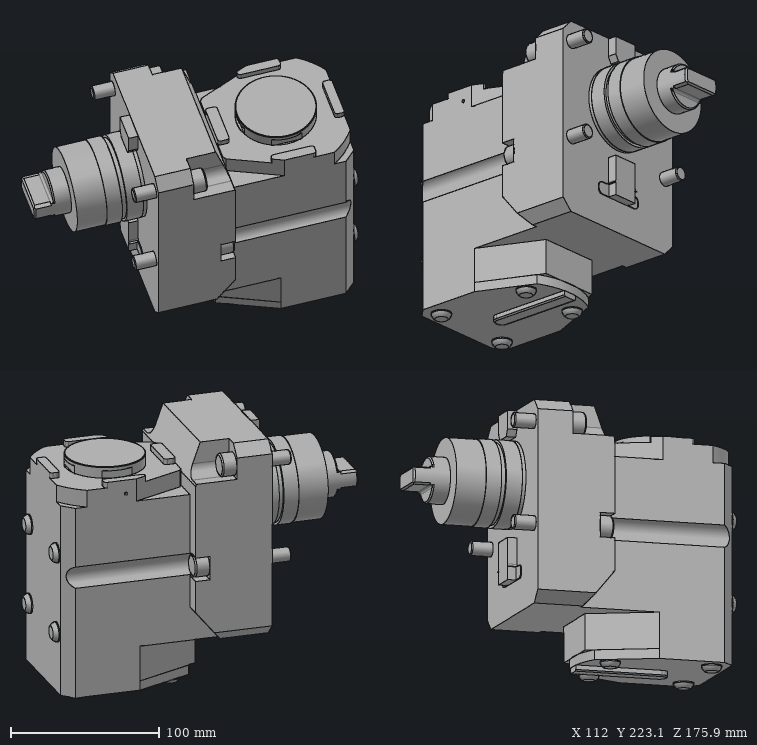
import cadquery as cq
import math


flange_width = 112.0
flange_top = 50.0
flange_bottom = -90.0
flange_thickness = 25.0
flange_chamfer = 8.0
shoulder_back = 54.5
shoulder_top_back = 45.5
shoulder_slope_start = 25.0
shoulder_slope_end = -66.0
shoulder_bottom_back = 34.5

housing_width = 88.0
housing_back = 144.0
housing_top = 15.0
housing_bottom = -115.0
housing_front = 43.7
rear_chamfer = 8.0
cap_axis_y = 100.0
side_taper_start = 90.0
side_taper_front_half = 23.5

lid_height = 12.0
lid_radius = 52.0
lid_front = 54.7
lid_taper_start = 92.5
lid_taper_end = 56.0
lid_taper_end_half = 28.0
cap_diameter = 55.0
cap_top = 35.1
cap_edge_chamfer = 0.5
cap_flat_offset = 25.3
cap_flat_top = 32.2
cap_flat_depth_in_lid = 1.0
pad_length = 30.4
pad_depth = 6.8
front_pad_depth = 8.1
pad_height = 4.0
pad_corner = 2.0
vent_diameter = 2.1
vent_depth = 3.0
vent_z = 21.2

cover_thickness = 6.8
cover_radius = 57.0
cover_taper_start = 90.0
rib_width = 11.4
rib_back = 109.5
rib_end_radius = 5.6
rib_chamfer = 1.0

button_diameter = 14.0
button_tip_diameter = 9.0
button_height = 4.1
button_shoulder = 0.8
button_bulge = 0.25
rear_screw_pitch = 57.0
rear_screw_centre_z = -50.0
cover_rear_screw_offset = 31.0
cover_front_screw_radius = 45.0
cover_front_screw_angle = 31.5

screw_x = 47.5
screw_z = 35.0
screw_diameter = 10.0
screw_head_diameter = 16.0
screw_head_height = 10.0
screw_length_out = 15.0
screw_tip_chamfer = 0.7
head_chamfer = 1.0
pocket_radius = 8.4
lower_seat_y = 44.3

spindle_steps = (
    (59.6, 2.5),
    (60.0, 13.9),
    (56.2, 17.2),
    (60.0, 28.0),
    (59.0, 48.9),
)
shaft_diameter = 32.0
shaft_end = 61.1
shaft_chamfer = 1.0
tongue_end = 75.0
tongue_thickness = 12.2
tongue_tip_chamfer = 1.2
tongue_root_fillet = 1.8
tongue_flat_half_width = 12.4
tongue_side_half_width = 15.0
tongue_side_drop = 1.0

key_width = 19.8
key_height = 6.7
upper_key_top = 49.4
upper_key_bottom = 31.7
upper_key_chamfer_x = 2.8
upper_key_chamfer_z = 4.8
lower_key_top = -38.0
lower_key_bottom = -67.0
foot_length = 40.0
foot_height = 9.0
foot_thickness = 0.7
foot_corner = 3.5
foot_web = 1.7

flange_half = flange_width / 2
housing_half = housing_width / 2
lid_top = housing_top + lid_height
cover_bottom = housing_bottom - cover_thickness


def block(x0, x1, y0, y1, z0, z1):
    """Axis-aligned box between two corners."""
    return cq.Workplane("XY").box(x1 - x0, y1 - y0, z1 - z0, centered=False).translate((x0, y0, z0))


def cylinder_y(diameter, x, z, y0, y1):
    """Cylinder along Y from y0 to y1."""
    return cq.Workplane("XZ", origin=(x, y0, z)).circle(diameter / 2).extrude(y0 - y1)


def cylinder_z(diameter, y, z0, z1):
    """Cylinder along Z on the X = 0 plane."""
    return cq.Workplane("XY", origin=(0, y, z0)).circle(diameter / 2).extrude(z1 - z0)


def prism_z(points, z0, z1):
    """Upright prism over an XY outline."""
    return cq.Workplane("XY", origin=(0, 0, z0)).polyline(points).close().extrude(z1 - z0)


def mirrored(points):
    """Complete a right-half XY outline with its mirror image across X = 0."""
    return points + [(-x, y) for x, y in reversed(points)]


def make_flange():
    """Flange plate with all corners bevelled, and the shoulder with only its lower corners bevelled."""
    plate = block(-flange_half, flange_half, 0, flange_thickness, flange_bottom, flange_top)
    plate = plate.edges("|Y").chamfer(flange_chamfer)
    side_outline = [
        (flange_thickness, flange_top),
        (shoulder_top_back, flange_top),
        (shoulder_back, shoulder_slope_start),
        (shoulder_back, shoulder_slope_end),
        (shoulder_bottom_back, flange_bottom),
        (flange_thickness, flange_bottom),
    ]
    shoulder = cq.Workplane("YZ").polyline(side_outline).close().extrude(flange_half, both=True)
    envelope = block(-flange_half, flange_half, 0, shoulder_back, flange_bottom, flange_top)
    envelope = envelope.edges("|Y and <Z").chamfer(flange_chamfer)
    return plate.union(shoulder.intersect(envelope))


def make_housing():
    """Main body, with its front corners tapered below the flange."""
    upper = block(-housing_half, housing_half, flange_thickness, housing_back, flange_bottom, housing_top)
    upper = upper.edges("|Z and >Y").chamfer(rear_chamfer)
    lower_outline = mirrored([
        (side_taper_front_half, housing_front),
        (housing_half, side_taper_start),
        (housing_half, housing_back - rear_chamfer),
        (housing_half - rear_chamfer, housing_back),
    ])
    return upper.union(prism_z(lower_outline, housing_bottom, flange_bottom))


def make_lid_prism(z0, z1):
    """Lid outline: tapered plan trimmed by a circle about the cap axis."""
    outline = mirrored([
        (lid_taper_end_half, lid_front),
        (lid_taper_end_half, lid_taper_end),
        (housing_half, lid_taper_start),
        (housing_half, housing_back),
    ])
    return prism_z(outline, z0, z1).intersect(cylinder_z(2 * lid_radius, cap_axis_y, z0, z1))


def make_pads():
    """Four raised pads at the lid edges, trimmed to the lid outline."""
    pad_top = lid_top + pad_height
    half = pad_length / 2
    areas = [
        (-half, half, housing_back - pad_depth, housing_back),
        (-half, half, lid_front, lid_front + front_pad_depth),
        (-housing_half, pad_depth - housing_half, cap_axis_y - half, cap_axis_y + half),
        (housing_half - pad_depth, housing_half, cap_axis_y - half, cap_axis_y + half),
    ]
    pads = cq.Workplane("XY")
    for x0, x1, y0, y1 in areas:
        pads = pads.union(block(x0, x1, y0, y1, lid_top, pad_top).edges("|Z").fillet(pad_corner))
    return pads.intersect(make_lid_prism(lid_top, pad_top))


def make_cap():
    """Round cap whose neck has four flats below the rim."""
    floor = lid_top - cap_flat_depth_in_lid
    cap = cylinder_z(cap_diameter, cap_axis_y, floor, cap_top).faces(">Z").chamfer(cap_edge_chamfer)
    neck_square = cq.Workplane("XY", origin=(0, cap_axis_y, floor)).rect(
        2 * cap_flat_offset, 2 * cap_flat_offset
    ).extrude(cap_flat_top - floor)
    rim = cylinder_z(cap_diameter, cap_axis_y, cap_flat_top, cap_top)
    return cap.intersect(neck_square.union(rim))


def make_lid():
    """Lid with pads, cap and a small vent in its -X side."""
    lid = make_lid_prism(housing_top, lid_top)
    lid = lid.cut(cylinder_z(cap_diameter, cap_axis_y, lid_top - cap_flat_depth_in_lid, lid_top))
    vent = cq.Workplane("YZ", origin=(-housing_half, cap_axis_y, vent_z))
    lid = lid.cut(vent.circle(vent_diameter / 2).extrude(vent_depth))
    return lid.union(make_pads()).union(make_cap())


def make_cover():
    """Bottom cover with a rounded front and a round-ended rib underneath."""
    front_y = cap_axis_y - cover_radius
    outline = mirrored([
        (side_taper_front_half, front_y),
        (housing_half, cover_taper_start),
        (housing_half, housing_back - rear_chamfer),
        (housing_half - rear_chamfer, housing_back),
    ])
    cover = prism_z(outline, cover_bottom, housing_bottom)
    cover = cover.intersect(cylinder_z(2 * cover_radius, cap_axis_y, cover_bottom, housing_bottom))
    half = rib_width / 2
    rib = block(-half, half, front_y, rib_back, cover_bottom - button_height, cover_bottom)
    rib = rib.edges("|Z and >Y").fillet(rib_end_radius)
    rib = rib.faces("<Z").edges("not <Y").chamfer(rib_chamfer)
    return cover.union(rib)


def make_button():
    """Domed screw head standing on Z = 0 and rising along +Z."""
    base = button_diameter / 2
    tip = button_tip_diameter / 2
    middle = ((base + tip) / 2 + button_bulge, (button_shoulder + button_height) / 2 + button_bulge)
    profile = cq.Workplane("XZ").lineTo(base, 0).lineTo(base, button_shoulder)
    profile = profile.threePointArc(middle, (tip, button_height)).lineTo(0, button_height).close()
    return profile.revolve(360, (0, 0, 0), (0, 1, 0))


def make_buttons():
    """Four screw heads on the back and four under the cover."""
    button = make_button()
    rear_button = button.rotate((0, 0, 0), (1, 0, 0), -90)
    cover_button = button.rotate((0, 0, 0), (1, 0, 0), 180)
    half_pitch = rear_screw_pitch / 2
    front_angle = math.radians(cover_front_screw_angle)
    sideways = cover_front_screw_radius * math.sin(front_angle)
    forward = cover_front_screw_radius * math.cos(front_angle)
    heads = cq.Workplane("XY")
    for side in (-1, 1):
        for level in (-1, 1):
            place = (side * half_pitch, housing_back, rear_screw_centre_z + level * half_pitch)
            heads = heads.union(rear_button.translate(place))
        rear_place = (side * cover_rear_screw_offset, cap_axis_y + cover_rear_screw_offset, cover_bottom)
        front_place = (side * sideways, cap_axis_y - forward, cover_bottom)
        heads = heads.union(cover_button.translate(rear_place)).union(cover_button.translate(front_place))
    return heads


def make_screw_pocket(side, level):
    """Clearance behind a flange screw; upper ones open outward and upward, lower ones outward."""
    x = side * screw_x
    z = level * screw_z
    outer = side * (flange_half + 1)
    x0, x1 = sorted((x, outer))
    if level > 0:
        seat, end = flange_thickness, shoulder_back
        pocket = cylinder_y(2 * pocket_radius, x, z, seat, end)
        pocket = pocket.union(block(x0, x1, seat, end, z - pocket_radius, flange_top))
        inner0, inner1 = sorted((x - side * pocket_radius, outer))
        return pocket.union(block(inner0, inner1, seat, end, z, flange_top))
    pocket = cylinder_y(2 * pocket_radius, x, z, lower_seat_y, housing_back)
    return pocket.union(block(x0, x1, lower_seat_y, shoulder_back, z - pocket_radius, z + pocket_radius))


def make_screw(side, level):
    """Cap screw through the flange, its tip standing out in front."""
    x = side * screw_x
    z = level * screw_z
    seat = flange_thickness if level > 0 else lower_seat_y
    shank = cylinder_y(screw_diameter, x, z, -screw_length_out, seat).faces("<Y").chamfer(screw_tip_chamfer)
    head = cylinder_y(screw_head_diameter, x, z, seat, seat + screw_head_height)
    return shank.union(head.faces(">Y").chamfer(head_chamfer))


def make_tongue():
    """Drive tongue with a filleted root, a bevelled tip and bevelled long edges."""
    half = tongue_thickness / 2
    radius = shaft_diameter / 2
    root = half + tongue_root_fillet
    tip = half - tongue_tip_chamfer
    arc_mid = root - tongue_root_fillet * math.sin(math.radians(45))
    arc_mid_y = -shaft_end - tongue_root_fillet * (1 - math.cos(math.radians(45)))
    fillet_end_y = -shaft_end - tongue_root_fillet
    tip_start_y = tongue_tip_chamfer - tongue_end
    profile = (
        cq.Workplane("YZ")
        .moveTo(-shaft_end, -root)
        .lineTo(-shaft_end, root)
        .threePointArc((arc_mid_y, arc_mid), (fillet_end_y, half))
        .lineTo(tip_start_y, half)
        .lineTo(-tongue_end, tip)
        .lineTo(-tongue_end, -tip)
        .lineTo(tip_start_y, -half)
        .lineTo(fillet_end_y, -half)
        .threePointArc((arc_mid_y, -arc_mid), (-shaft_end, -root))
        .close()
    )
    tongue = profile.extrude(radius, both=True)
    start_y = shaft_chamfer - shaft_end
    tongue = tongue.union(block(-radius, radius, -shaft_end, start_y, -half, half))
    round_end = cylinder_y(shaft_diameter, 0, 0, -tongue_end, start_y)
    tongue = tongue.intersect(round_end.faces("<Y").chamfer(tongue_tip_chamfer))
    slope = tongue_side_drop / (tongue_side_half_width - tongue_flat_half_width)
    side_z = half - slope * (radius - tongue_flat_half_width)
    bevel_outline = [
        (-radius, side_z),
        (0, half + slope * tongue_flat_half_width),
        (radius, side_z),
    ]
    bevel_outline += [(x, -z) for x, z in reversed(bevel_outline)]
    envelope = cq.Workplane("XZ", origin=(0, fillet_end_y, 0)).polyline(bevel_outline).close()
    envelope = envelope.extrude(tongue_end + fillet_end_y)
    root_zone = block(-radius, radius, fillet_end_y, start_y, -root, root)
    return tongue.intersect(envelope.union(root_zone))


def make_spindle():
    """Stepped spindle nose with the drive tongue."""
    spindle = cq.Workplane("XY")
    start = 0.0
    for diameter, end in spindle_steps:
        spindle = spindle.union(cylinder_y(diameter, 0, 0, -end, -start))
        start = end
    shaft = cylinder_y(shaft_diameter, 0, 0, -shaft_end, -start)
    shaft = shaft.faces("<Y").chamfer(shaft_chamfer)
    return spindle.union(shaft).union(make_tongue())


def make_keys():
    """Upper and lower locating keys on the flange face, the lower one with a foot."""
    half = key_width / 2
    upper_outline = [
        (-half, upper_key_top),
        (half, upper_key_top),
        (half, upper_key_bottom + upper_key_chamfer_z),
        (half - upper_key_chamfer_x, upper_key_bottom),
        (upper_key_chamfer_x - half, upper_key_bottom),
        (-half, upper_key_bottom + upper_key_chamfer_z),
    ]
    upper = cq.Workplane("XZ").polyline(upper_outline).close().extrude(key_height)
    lower = block(-half, half, -key_height, 0, lower_key_bottom, lower_key_top)
    return upper.union(lower).union(make_key_foot())


def make_key_foot():
    """Thin round-cornered foot across the lower key, with a small concave web at each key side."""
    half = foot_length / 2
    foot_top = lower_key_bottom + foot_height
    foot = block(-half, half, -foot_thickness, 0, lower_key_bottom, foot_top)
    foot = foot.edges("|Y").fillet(foot_corner)
    for side in (-1, 1):
        key_side = side * key_width / 2
        web_end = key_side + side * foot_web
        web_x = sorted((key_side, web_end))
        web = block(*web_x, -key_height, 0, foot_top, foot_top + foot_web)
        hollow = cylinder_y(2 * foot_web, web_end, foot_top + foot_web, -key_height, 0)
        foot = foot.union(web.cut(hollow))
    return foot


body = make_flange().union(make_housing())
for side in (-1, 1):
    for level in (-1, 1):
        body = body.cut(make_screw_pocket(side, level))
for piece in (make_lid(), make_cover(), make_buttons(), make_spindle(), make_keys()):
    body = body.union(piece)
for side in (-1, 1):
    for level in (-1, 1):
        body = body.union(make_screw(side, level))

result = body